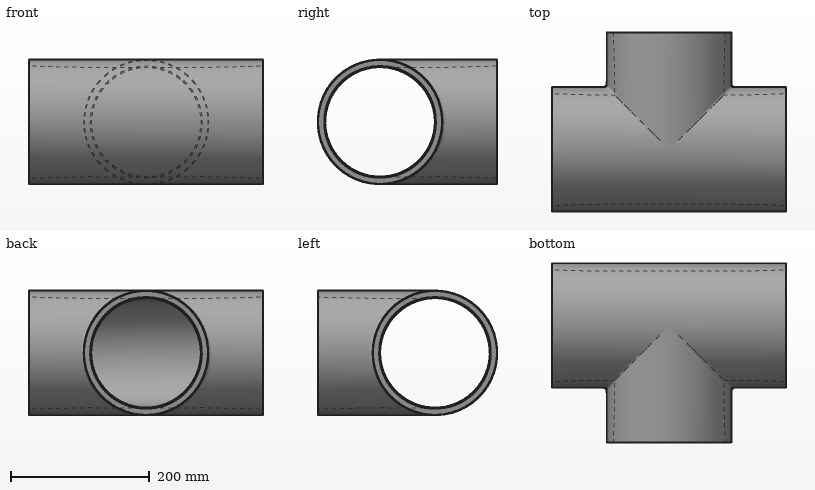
import cadquery as cq

run_length = 338.5
branch_length = 169.2
outer_diameter = 180.5
bore_diameter = 157.7
mouth_diameter = 161.8
taper_length = 84.5
corner_fillet = 4.0
rim_chamfer = 1.0

half_run = run_length / 2

END_PLANES = [
    cq.Plane(origin=(-half_run, 0, 0), xDir=(0, 0, 1), normal=(1, 0, 0)),
    cq.Plane(origin=(half_run, 0, 0), xDir=(0, 0, 1), normal=(-1, 0, 0)),
    cq.Plane(origin=(0, branch_length, 0), xDir=(0, 0, 1), normal=(0, -1, 0)),
]


def crossed_cylinders(diameter):
    """Cylinder along X joined with a cylinder of the same diameter along +Y."""
    run = cq.Workplane("YZ").circle(diameter / 2).extrude(half_run, both=True)
    branch = cq.Workplane("XZ").circle(diameter / 2).extrude(-branch_length)
    return run.union(branch)


def outer_body():
    """Solid tee with filleted branch corners and chamfered outer rims."""
    tee = crossed_cylinders(outer_diameter)
    tee = tee.edges("%ELLIPSE").fillet(corner_fillet)
    return tee.faces("<X or >X or >Y").edges("%CIRCLE").chamfer(rim_chamfer)


def tapered_mouth(plane):
    """Cone that widens the bore towards one open end."""
    return (
        cq.Workplane(plane)
        .circle(mouth_diameter / 2)
        .workplane(offset=taper_length)
        .circle(bore_diameter / 2)
        .loft()
    )


tee_pipe = outer_body().cut(crossed_cylinders(bore_diameter))
for end_plane in END_PLANES:
    tee_pipe = tee_pipe.cut(tapered_mouth(end_plane))

result = tee_pipe.solids()